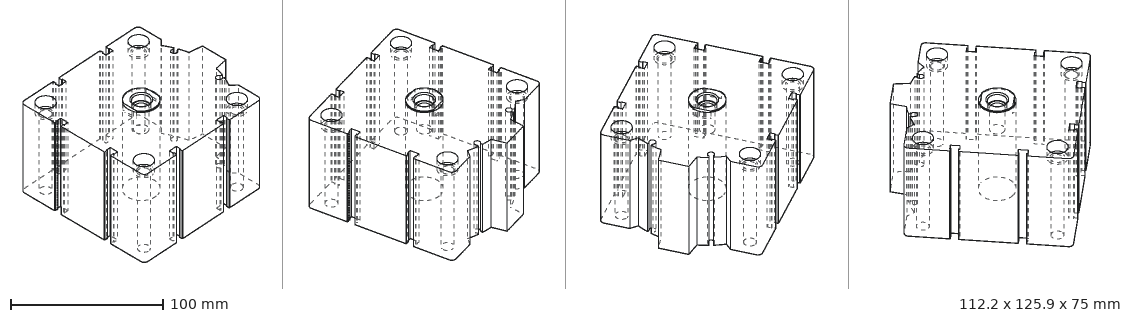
import cadquery as cq
import math

side = 112.2
half_side = side / 2
height = 74.0
corner_radius = 3.3

crown_radius = 60.0
notch_outer_x = 35.0
rib_top_y = 69.8
rib_top_half_width = 10.6
rib_root_half_width = 12.4

groove_angle = 21.0
groove_diameter = 4.5
groove_centre_radius = 56.6
groove_mouth_width = 3.1

slot_offset = 22.5
slot_mouth_width = 5.2
slot_mouth_depth = 2.8
slot_head_width = 6.6
slot_depth = 6.1
slot_edge_chamfer = 0.4

mount_offset = 44.5
mount_diameter = 8.5
mount_chamfer_diameter = 10.11
mount_counterbore_diameter = 14.0
mount_counterbore_depth = 9.0

rod_diameter = 25.0
rod_projection = 1.0
rod_edge_chamfer = 0.2
rod_flat_width = 21.8
rod_flat_length = 6.0
rod_top = height + rod_projection

socket_mouth_diameter = 15.0
socket_relief_diameter = 13.0
socket_relief_depth = 6.0
socket_step_diameter = 12.0
socket_bore_diameter = 10.11
socket_bore_depth = 25.0
drill_point_angle = 118.0


def point_on_crown(x):
    return x, math.sqrt(crown_radius ** 2 - x ** 2)


def notch_bottom():
    """Point on the +X side where the 45 degree drop, y = x + drop_rise, meets the crown circle."""
    drop_rise = half_side - notch_outer_x
    x = (-drop_rise + math.sqrt(2 * crown_radius ** 2 - drop_rise ** 2)) / 2
    return x, x + drop_rise


def make_block():
    block = cq.Workplane("XY").rect(side, side).extrude(height)
    return block.edges("|Z").fillet(corner_radius)


def make_crown():
    """Material above the notches: crown segment and tapered rib."""
    x, y = notch_bottom()
    root = point_on_crown(rib_root_half_width)
    shoulder = point_on_crown((x + rib_root_half_width) / 2)
    return (
        cq.Workplane("XY")
        .moveTo(-x, 0)
        .lineTo(-x, y)
        .threePointArc((-shoulder[0], shoulder[1]), (-root[0], root[1]))
        .lineTo(-rib_top_half_width, rib_top_y)
        .lineTo(rib_top_half_width, rib_top_y)
        .lineTo(*root)
        .threePointArc(shoulder, (x, y))
        .lineTo(x, 0)
        .close()
        .extrude(height)
    )


def make_crown_clearance():
    """Clears the block between the two 45 degree drops, down to the XZ plane, to make way for the crown."""
    x, y = notch_bottom()
    return (
        cq.Workplane("XY")
        .moveTo(-notch_outer_x, half_side)
        .lineTo(-x, y)
        .lineTo(-x, 0)
        .lineTo(x, 0)
        .lineTo(x, y)
        .lineTo(notch_outer_x, half_side)
        .close()
        .extrude(height)
    )


def make_sensor_groove(angle):
    mouth_length = crown_radius - groove_centre_radius + groove_diameter
    groove = (
        cq.Workplane("XY")
        .center(0, groove_centre_radius)
        .circle(groove_diameter / 2)
        .extrude(height)
    )
    mouth = (
        cq.Workplane("XY")
        .center(0, groove_centre_radius + mouth_length / 2)
        .rect(groove_mouth_width, mouth_length)
        .extrude(height)
    )
    return groove.union(mouth).rotate((0, 0, 0), (0, 0, 1), angle)


def make_t_slot_pair(angle):
    """Two T-slots in the -Y face, turned about Z to the wanted face."""
    places = [(-slot_offset, -half_side), (slot_offset, -half_side)]
    head_depth = slot_depth - slot_mouth_depth
    mouths = (
        cq.Workplane("XY")
        .pushPoints(places)
        .rect(slot_mouth_width, 2 * slot_depth)
        .extrude(height)
    )
    heads = (
        cq.Workplane("XY")
        .center(0, slot_mouth_depth + head_depth / 2)
        .pushPoints(places)
        .rect(slot_head_width, head_depth)
        .extrude(height)
    )
    flare_half_width = slot_mouth_width / 2 + slot_edge_chamfer
    flares = (
        cq.Workplane("XY")
        .pushPoints(places)
        .polygon(4, 2 * flare_half_width)
        .extrude(height)
    )
    return mouths.union(heads).union(flares).rotate((0, 0, 0), (0, 0, 1), angle)


def make_mounting_hole_cutter():
    bore_radius = mount_diameter / 2
    chamfer_radius = mount_chamfer_diameter / 2
    counterbore_radius = mount_counterbore_diameter / 2
    floor = height - mount_counterbore_depth
    chamfer = chamfer_radius - bore_radius
    return (
        cq.Workplane("XZ")
        .moveTo(0, 0)
        .lineTo(bore_radius, 0)
        .lineTo(bore_radius, floor - chamfer)
        .lineTo(chamfer_radius, floor)
        .lineTo(counterbore_radius, floor)
        .lineTo(counterbore_radius, height)
        .lineTo(0, height)
        .close()
        .revolve(360, (0, 0), (0, 1))
    )


def make_housing():
    housing = make_block().cut(make_crown_clearance()).union(make_crown())
    for angle in (-groove_angle, groove_angle):
        housing = housing.cut(make_sensor_groove(angle))
    for angle in (-90, 0, 90):
        housing = housing.cut(make_t_slot_pair(angle))
    mounting_hole = make_mounting_hole_cutter()
    for x in (-mount_offset, mount_offset):
        for y in (-mount_offset, mount_offset):
            housing = housing.cut(mounting_hole.translate((x, y, 0)))
    rod_bore = cq.Workplane("XY").circle(rod_diameter / 2).extrude(height)
    return housing.cut(rod_bore)


def make_socket_cutter():
    mouth_radius = socket_mouth_diameter / 2
    relief_radius = socket_relief_diameter / 2
    step_radius = socket_step_diameter / 2
    bore_radius = socket_bore_diameter / 2
    mouth_chamfer = mouth_radius - relief_radius
    relief_floor = rod_top - socket_relief_depth
    bore_floor = rod_top - socket_bore_depth
    point_depth = bore_radius / math.tan(math.radians(drill_point_angle / 2))
    return (
        cq.Workplane("XZ")
        .moveTo(0, rod_top)
        .lineTo(mouth_radius, rod_top)
        .lineTo(relief_radius, rod_top - mouth_chamfer)
        .lineTo(relief_radius, relief_floor)
        .lineTo(step_radius, relief_floor)
        .lineTo(bore_radius, relief_floor - (step_radius - bore_radius))
        .lineTo(bore_radius, bore_floor)
        .lineTo(0, bore_floor - point_depth)
        .close()
        .revolve(360, (0, 0), (0, 1))
    )


def make_rod():
    rod_body = cq.Workplane("XY").circle(rod_diameter / 2).extrude(rod_top - rod_flat_length)
    flats = (
        cq.Workplane("XY", origin=(0, 0, rod_top - rod_flat_length))
        .circle(rod_diameter / 2)
        .extrude(rod_flat_length)
        .faces(">Z")
        .chamfer(rod_edge_chamfer)
        .intersect(cq.Workplane("XY").box(rod_diameter, rod_flat_width, 2 * rod_top))
    )
    return rod_body.union(flats).cut(make_socket_cutter())


housing = make_housing()
rod = make_rod()

result = cq.Compound.makeCompound([housing.val(), rod.val()])